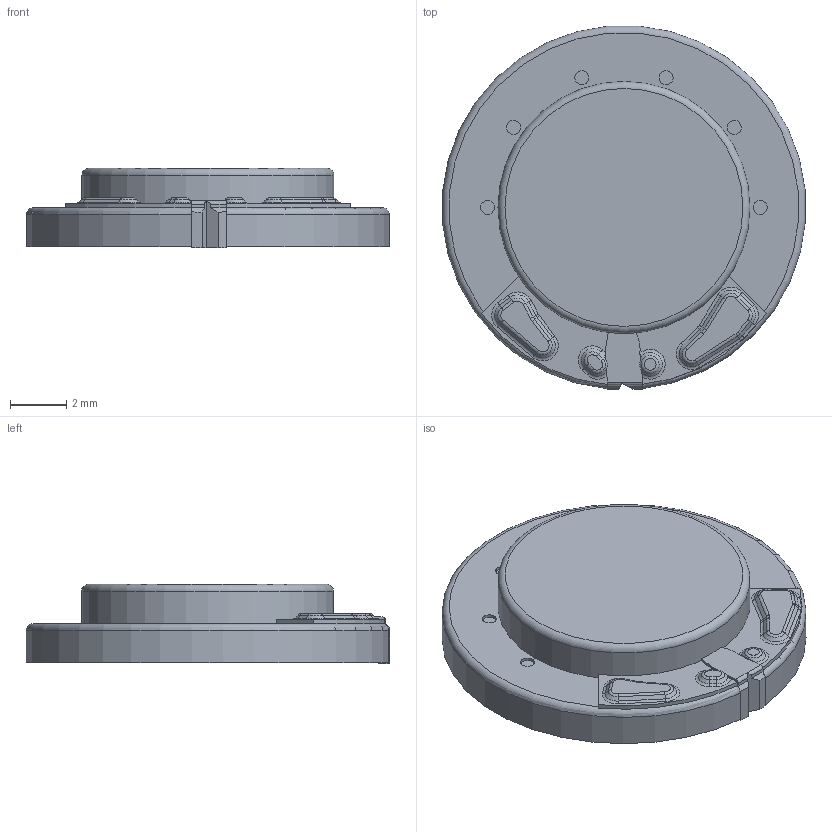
import cadquery as cq
import math

disc_radius = 6.5
disc_height = 1.4
boss_radius = 4.5
boss_top = 2.8
edge_round = 0.25

dimple_circle_radius = 4.87
dimple_diameter = 0.5
dimple_depth = 0.1
dimple_count = 6

sheet_thickness = 0.15
sheet_radius = 6.35
sheet_apex_y = 1.3
sheet_top = disc_height + sheet_thickness

pad_height = 0.2
pad_slope = 45
pad_round = 0.15
pad_base_thickness = 0.3
selection_margin = 0.01

long_pad_corner = 0.49
long_pad_waist = -0.46
minus_pad_arcs = [
    ((-4.17, -3.85), long_pad_corner),
    ((-2.90, -4.93), long_pad_corner),
    ((-2.70, -3.63), long_pad_waist),
    ((-3.80, -3.57), long_pad_corner),
]
plus_pad_arcs = [
    ((2.42, -5.24), long_pad_corner),
    ((3.88, -4.31), long_pad_corner),
    ((4.25, -3.85), long_pad_corner),
    ((3.83, -3.40), long_pad_corner),
    ((2.35, -4.00), long_pad_waist),
]
oval_pad_radius = 0.45
oval_pad_arcs = [
    ((-1.12, -5.45), oval_pad_radius),
    ((-0.95, -5.62), oval_pad_radius),
]
round_pad_radius = 0.47
round_pad_center = (0.94, -5.60)

tab_top = 1.64
tab_bottom = -0.03
tab_height = tab_top - tab_bottom
tab_outer_radius = 6.515
tab_left = -0.6
tab_right = 0.66
tab_fold_y = -6.1
tab_front_y = -7
tab_neck_y = -6.36
tab_bend = 0.12
tab_tongue_z = 1.22
tab_hidden_left = -0.5
tab_left_bulge = (-0.655, -5.1)
tab_waist = (0.57, -5.2)
tab_shoulder_mid = (0.55, -4.8)
tab_shoulder_end = (0.44, -4.5)
tab_notch_points = [(-0.2, tab_front_y), (-0.2, -6.5), (-0.065, -6.28), (0.36, -6.5), (0.36, tab_front_y)]


def disc(radius, bottom, height):
    return cq.Workplane("XY", origin=(0, 0, bottom)).circle(radius).extrude(height)


def tangent_outline(arcs):
    """Counterclockwise outline at the sheet's top: the arcs, joined by lines tangent to them."""
    count = len(arcs)
    line_normals = []
    for i in range(count):
        (x1, y1), r1 = arcs[i]
        (x2, y2), r2 = arcs[(i + 1) % count]
        heading = math.atan2(y2 - y1, x2 - x1)
        line_normals.append(heading - math.acos((r1 - r2) / math.hypot(x2 - x1, y2 - y1)))

    def point_on_arc(i, angle):
        (x, y), radius = arcs[i]
        return (x + radius * math.cos(angle), y + radius * math.sin(angle))

    outline = cq.Workplane("XY", origin=(0, 0, sheet_top)).moveTo(*point_on_arc(0, line_normals[0]))
    for step in range(1, count + 1):
        i = step % count
        start = line_normals[step - 1]
        full_turn = math.copysign(2 * math.pi, arcs[i][1])
        turn = (line_normals[i] - start) % full_turn
        outline = outline.lineTo(*point_on_arc(i, start))
        outline = outline.threePointArc(point_on_arc(i, start + turn / 2), point_on_arc(i, start + turn))
    return outline.close()


def make_pad(foot_outline):
    """Key on the sheet, with a rounded top edge and a flared foot, trimmed beside the tab."""
    base = disc(disc_radius, sheet_top - pad_base_thickness, pad_base_thickness)
    key = base.union(foot_outline.extrude(pad_height, taper=pad_slope))
    key = key.faces(">Z").edges().fillet(pad_round)
    foot_zone = cq.selectors.BoxSelector(
        (-sheet_radius, -sheet_radius, sheet_top - selection_margin),
        (sheet_radius, sheet_radius, sheet_top + selection_margin),
        boundingbox=True,
    )
    key = key.edges(foot_zone).fillet(pad_round)
    return key.intersect(disc(sheet_radius, sheet_top, pad_height)).cut(tab)


def make_fold_slot():
    """Block of space at the disc's edge that the folded part of the tab takes up."""
    return (
        cq.Workplane("XY")
        .moveTo(tab_left, tab_fold_y)
        .lineTo(tab_right, tab_fold_y)
        .lineTo(tab_right, tab_front_y)
        .lineTo(tab_left, tab_front_y)
        .close()
        .extrude(sheet_top)
    )


def make_tab():
    hidden_end_y = -boss_radius + edge_round
    bend_center_y = tab_neck_y + tab_bend
    bend_center_z = tab_top - tab_bend
    bend_mid = tab_bend * math.sqrt(0.5)
    side_profile = (
        cq.Workplane("YZ")
        .moveTo(hidden_end_y, tab_top)
        .lineTo(bend_center_y, tab_top)
        .threePointArc((bend_center_y - bend_mid, bend_center_z + bend_mid), (tab_neck_y, bend_center_z))
        .lineTo(tab_neck_y, disc_height)
        .lineTo(-tab_outer_radius, tab_tongue_z)
        .lineTo(-tab_outer_radius, tab_bottom)
        .lineTo(tab_fold_y, tab_bottom)
        .lineTo(tab_fold_y, sheet_top)
        .lineTo(hidden_end_y, sheet_top)
        .close()
        .extrude(boss_radius, both=True)
    )
    plan = (
        cq.Workplane("XY", origin=(0, 0, tab_bottom))
        .moveTo(tab_hidden_left, hidden_end_y)
        .threePointArc(tab_left_bulge, (tab_left, tab_fold_y))
        .lineTo(tab_left, tab_front_y)
        .lineTo(tab_right, tab_front_y)
        .lineTo(tab_right, tab_fold_y)
        .lineTo(*tab_waist)
        .threePointArc(tab_shoulder_mid, tab_shoulder_end)
        .lineTo(tab_shoulder_end[0], hidden_end_y)
        .close()
        .extrude(tab_height)
    )
    rim = disc(tab_outer_radius, tab_bottom, tab_height).cut(disc(boss_radius, tab_bottom, tab_height))
    notch = (
        cq.Workplane("XY", origin=(0, 0, tab_bottom))
        .polyline(tab_notch_points)
        .close()
        .extrude(tab_height)
    )
    return side_profile.intersect(plan).intersect(rim).cut(notch)


def make_case():
    base = disc(disc_radius, 0, disc_height).faces(">Z").edges().fillet(edge_round)
    boss = disc(boss_radius, 0, boss_top).faces(">Z").edges().fillet(edge_round)
    dimples = (
        cq.Workplane("XY", origin=(0, 0, disc_height - dimple_depth))
        .polarArray(dimple_circle_radius, 0, 180, dimple_count)
        .circle(dimple_diameter / 2)
        .extrude(dimple_depth)
    )
    return base.union(boss).cut(dimples).cut(make_fold_slot())


def make_sheet():
    ring = disc(sheet_radius, disc_height, sheet_thickness)
    ring = ring.cut(disc(boss_radius, disc_height, sheet_thickness))
    wedge_depth = 2 * disc_radius
    front_wedge = (
        cq.Workplane("XY", origin=(0, 0, disc_height))
        .moveTo(0, sheet_apex_y)
        .lineTo(-wedge_depth, sheet_apex_y - wedge_depth)
        .lineTo(wedge_depth, sheet_apex_y - wedge_depth)
        .close()
        .extrude(sheet_thickness)
    )
    return ring.intersect(front_wedge).cut(make_fold_slot())


case = make_case()
sheet = make_sheet()
tab = make_tab()
minus_pad = make_pad(tangent_outline(minus_pad_arcs))
plus_pad = make_pad(tangent_outline(plus_pad_arcs))
oval_pad = make_pad(tangent_outline(oval_pad_arcs))
round_pad = make_pad(cq.Workplane("XY", origin=(*round_pad_center, sheet_top)).circle(round_pad_radius))

result = cq.Compound.makeCompound([
    case.val(),
    sheet.val(),
    tab.val(),
    minus_pad.val(),
    plus_pad.val(),
    oval_pad.val(),
    round_pad.val(),
])